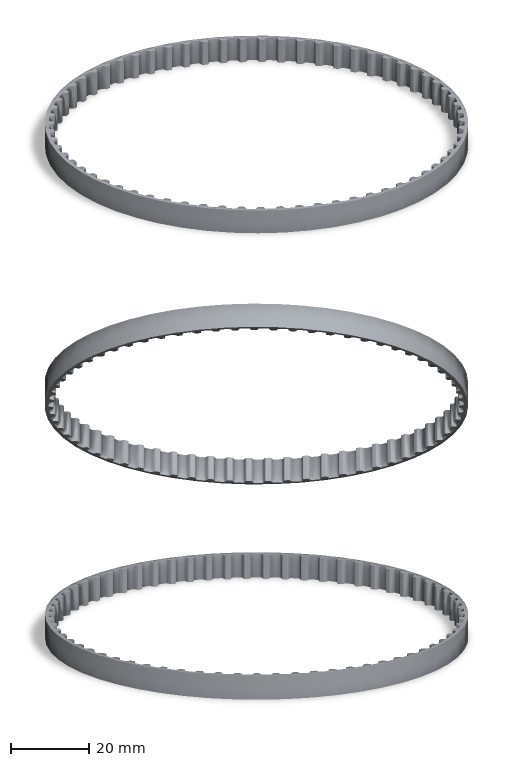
import cadquery as cq
import math

outer_diameter = 108.3
belt_width = 6.4

tooth_count = 67
backing_thickness = 1.03
flank_angle = math.radians(25.0)
corner_radius = 0.38

outer_radius = outer_diameter / 2
pitch_angle = 2 * math.pi / tooth_count
tooth_pitch = outer_radius * pitch_angle
tooth_height = tooth_pitch / 4
tooth_root_width = tooth_pitch / 2
land_radius = outer_radius - backing_thickness
tip_radius = land_radius - tooth_height
tooth_tip_width = tooth_root_width - 2 * tooth_height * math.tan(flank_angle)
root_half_angle = math.asin(tooth_root_width / 2 / land_radius)


def on_circle(radius, angle):
    """Point at an angle in radians measured from the -Y axis."""
    return (radius * math.sin(angle), -radius * math.cos(angle))


def turned(x, y, angle):
    """Point (x, y) turned about the belt axis."""
    return (
        x * math.cos(angle) - y * math.sin(angle),
        x * math.sin(angle) + y * math.cos(angle),
    )


def opening_outline():
    """Sharp-cornered inside of the belt: flat-tipped teeth joined by land arcs."""
    outline = cq.Workplane("XY").moveTo(*on_circle(land_radius, -root_half_angle))
    for tooth in range(tooth_count):
        centre = tooth * pitch_angle
        outline = (
            outline
            .lineTo(*turned(-tooth_tip_width / 2, -tip_radius, centre))
            .lineTo(*turned(tooth_tip_width / 2, -tip_radius, centre))
            .lineTo(*on_circle(land_radius, centre + root_half_angle))
            .threePointArc(
                on_circle(land_radius, centre + pitch_angle / 2),
                on_circle(land_radius, centre + pitch_angle - root_half_angle),
            )
        )
    return outline.close().val()


def belt_section():
    """Cross-section of the belt: outer circle less the rounded toothed opening."""
    opening = cq.Sketch().face(opening_outline()).vertices().fillet(corner_radius).reset()
    return cq.Sketch().circle(outer_radius).face(opening, mode="s")


result = cq.Workplane("XY").placeSketch(belt_section()).extrude(belt_width)